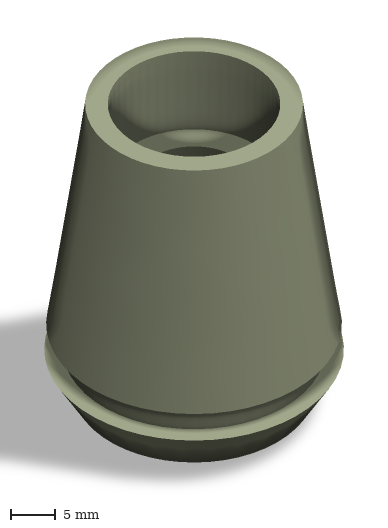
import cadquery as cq
import math

height = 40.0
flange_radius = 16.7

flange_height = 5.55
flange_angle = 30.0
foot_radius = flange_radius - flange_height * math.tan(math.radians(flange_angle))

groove_radius = 14.6
groove_width = 3.55

taper_angle = 8.0
taper_base = flange_height + groove_width
top_radius = 12.1
taper_radius = top_radius + (height - taper_base) * math.tan(math.radians(taper_angle))

bore_radius = 6.5
counterbore_radius = 9.6
counterbore_depth = 10.95


def make_body():
    """Revolve the outer half-profile about the Z axis."""
    return (
        cq.Workplane("XZ")
        .moveTo(0, 0)
        .lineTo(foot_radius, 0)
        .lineTo(flange_radius, flange_height)
        .lineTo(groove_radius, flange_height)
        .lineTo(groove_radius, taper_base)
        .lineTo(taper_radius, taper_base)
        .lineTo(top_radius, height)
        .lineTo(0, height)
        .close()
        .revolve(360, (0, 0, 0), (0, 1, 0))
    )


def cut_stepped_bore(body):
    """Cut the through bore and the wider counterbore from the top."""
    bore = cq.Workplane("XY").circle(bore_radius).extrude(height)
    counterbore = (
        cq.Workplane("XY")
        .workplane(offset=height - counterbore_depth)
        .circle(counterbore_radius)
        .extrude(counterbore_depth)
    )
    return body.cut(bore).cut(counterbore)


result = cut_stepped_bore(make_body())